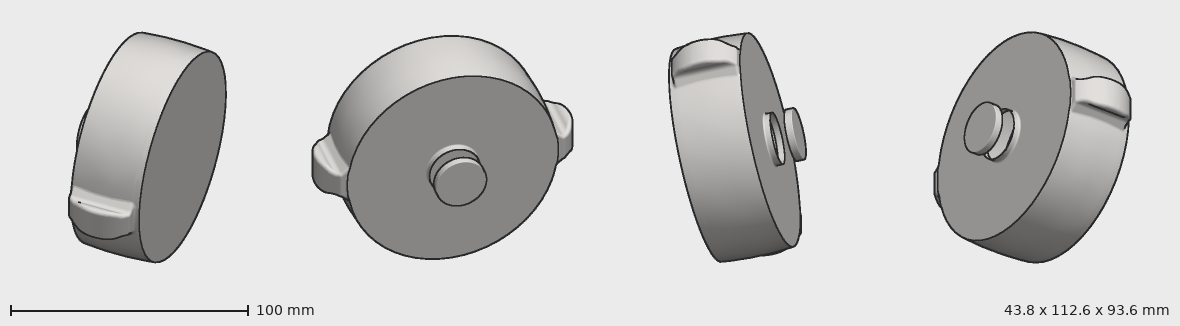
import cadquery as cq
import math

drum_width = 31.2
crown_diameter = 93.6
crown_radius = crown_diameter / 2
crown_arc_radius = 139.7
crown_x = 15.1

knob_length = 12.6
knob_radius = 11.2
groove_radius = 3.0
groove_x = -6.2
knob_rim_fillet = 0.3
knob_base_fillet = 0.8

lug_tip = 56.3
lug_arc_radius = 18.6
lug_start_x = 0.3
lug_end_x = 28.8
neck_half_height = 5.6
neck_y = 50.0
flare_radius = 2.7
flare_angle = 39.0
head_height = 14.5
head_half_height = head_height / 2
tip_allowance = 1.1
tip_fillet = 1.5
end_fillet = 1.4

lug_base_fillet = 1.4
lug_root_depth = 2.3
rim_band = 1.4
rim_band_half_height = 11.3
trim_margin = 4.5


def rim_radius(x):
    arc_height = math.sqrt(crown_arc_radius**2 - (x - crown_x) ** 2)
    return crown_radius - crown_arc_radius + arc_height


def make_drum(start_x, end_x):
    return (
        cq.Workplane("XZ")
        .moveTo(start_x, 0)
        .lineTo(start_x, rim_radius(start_x))
        .threePointArc((crown_x, crown_radius), (end_x, rim_radius(end_x)))
        .lineTo(end_x, 0)
        .close()
        .revolve(360, (0, 0, 0), (1, 0, 0))
    )


def make_knob():
    knob = (
        cq.Workplane("YZ", origin=(-knob_length, 0, 0))
        .circle(knob_radius)
        .extrude(knob_length)
        .faces("<X")
        .edges()
        .fillet(knob_rim_fillet)
    )
    groove = (
        cq.Workplane("XY")
        .center(groove_x, knob_radius)
        .circle(groove_radius)
        .revolve(360, (0, -knob_radius, 0), (1, -knob_radius, 0))
    )
    return knob.cut(groove)


def make_lug():
    """Lug on the +Y side: a waisted section along X under a rounded tip."""
    angle = math.radians(flare_angle)
    hollow_half_width = flare_radius * math.sin(angle)
    hollow_end_z = neck_half_height + flare_radius * (1 - math.cos(angle))
    head_radius = (head_half_height - hollow_end_z) / (1 - math.cos(angle))
    hollow_top_y = neck_y + hollow_half_width
    head_y = hollow_top_y + head_radius * math.sin(angle)
    hollow_bottom_y = neck_y - hollow_half_width
    root_y = crown_radius - lug_root_depth
    root_z = hollow_end_z + (hollow_bottom_y - root_y) * math.tan(angle)
    blank_y = lug_tip + tip_allowance

    half = (
        cq.Workplane("YZ", origin=(lug_start_x, 0, 0))
        .moveTo(root_y, 0)
        .lineTo(root_y, root_z)
        .lineTo(hollow_bottom_y, hollow_end_z)
        .threePointArc((neck_y, neck_half_height), (hollow_top_y, hollow_end_z))
        .tangentArcPoint((head_y, head_half_height), relative=False)
        .lineTo(blank_y, head_half_height)
        .lineTo(blank_y, 0)
        .close()
        .extrude(lug_end_x - lug_start_x)
    )
    section = half.union(half.mirror("XY"))
    section = section.faces("<X or >X").edges("not |Z").fillet(end_fillet)
    tip_cylinder = (
        cq.Workplane("XY", origin=(crown_x, lug_tip - lug_arc_radius, -lug_tip))
        .circle(lug_arc_radius)
        .extrude(2 * lug_tip)
    )
    return section.intersect(tip_cylinder).faces(">Y").edges().fillet(tip_fillet)


def round_lug_base(body, side):
    """Fillet where a lug meets the rim; side is +1 for +Y and -1 for -Y."""
    near_rim = cq.selectors.BoxSelector(
        (0, side * (crown_radius - rim_band), -rim_band_half_height),
        (lug_end_x + rim_band, side * crown_radius, rim_band_half_height),
    )
    return body.edges(near_rim).fillet(lug_base_fillet)


lug = make_lug()
body = make_drum(-trim_margin, drum_width).union(lug).union(lug.mirror("XZ"))
for side in (1, -1):
    body = round_lug_base(body, side)
trim_block = cq.Workplane("YZ").rect(2 * lug_tip, 2 * lug_tip).extrude(-trim_margin)
body = body.cut(trim_block)

selection_gap = 0.1
selection_radius = knob_radius + selection_gap
knob_foot = cq.selectors.BoxSelector(
    (-selection_gap, -selection_radius, -selection_radius),
    (selection_gap, selection_radius, selection_radius),
    boundingbox=True,
)
result = body.union(make_knob()).edges(knob_foot).fillet(knob_base_fillet)